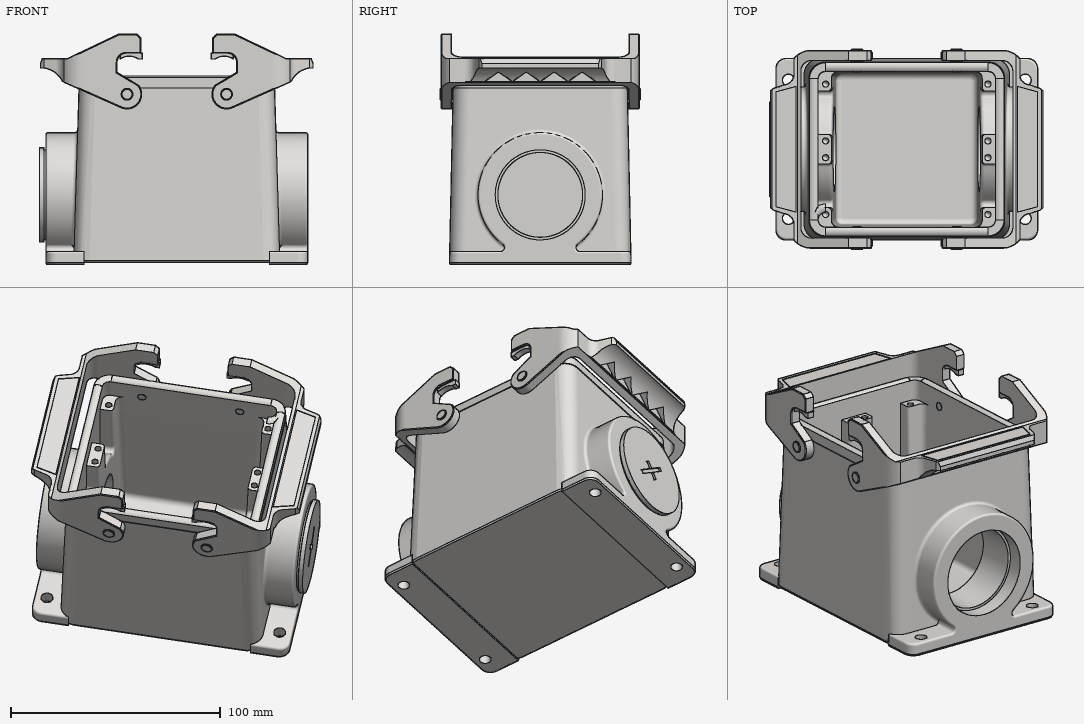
import cadquery as cq
import math

base_half_x = 62.5
base_corner_radius = 5.0
base_top = 6.2
bottom_bevel = 0.4
bottom_bevel_height = 0.95
foot_inner_x = 44.2
foot_height = 1.0
mount_hole_dia = 5.6
mount_hole_x = 56.5
mount_hole_y = 33.0

wall_top = 84.3
wall_half_x_bottom = 49.2
wall_half_y_bottom = 43.4
wall_half_x_top = 46.7
wall_half_y_top = 41.6
wall_corner_radius = 7.7

rim_top = 90.0
rim_thickness = 4.1
rim_crown = 0.8

mouth_half_x = 42.3
mouth_half_y = 37.2
mouth_corner_radius = 3.5
post_top = 79.0
break_height = 68.5
break_half_y = 36.8
post_top_half_y = break_half_y + (mouth_half_y - break_half_y) * (post_top - break_height) / (wall_top - break_height)
well_half_x_top = 36.0
well_half_x_bottom = 33.6
well_half_y_bottom = 36.0
well_corner_radius = 3.2
well_floor = 5.0
floor_rounding = 3.0

middle_post_half_width = 7.1
corner_post_inner_y = 27.8
recess_root_radius = 2.0
post_edge_radius = 1.6
screw_hole_dia = 2.95
screw_hole_depth = 10.0
screw_hole_x = 38.7
middle_screw_y = 4.0
corner_screw_y = 31.1

hub_height = 33.2
hub_radius = 29.7
hub_edge_radius = 1.1
hub_root_radius = 1.4
hub_neck_radius = 1.8
bore_dia = 43.0
passage_dia = 40.5

plug_flange_dia = 45.0
plug_outer_x = 65.63
plug_flange_thickness = 2.2
plug_inner_x = 54.5
slot_width = 2.0
slot_long = 19.0
slot_short = 9.5
slot_depth = 1.0
slot_angle = 39.0

lever_outer_y = 47.25
lever_inner_y = 42.4
lever_outer_x = 53.9
lever_inner_x = 50.6
corner_start_x = 45.4
corner_end_y = 43.3
lever_inner_corner = 5.2
lever_edge_chamfer = 0.4
pivot_x = 23.75
pivot_z = 81.2
pivot_eye_radius = 7.0
lever_bottom_z = 87.2
lever_bottom_x = 54.5
lever_shoulder_x = 52.2
lever_shoulder_z = 98.2
hook_tip_x = 17.1
hook_back_x = 27.8
hook_top_z = 109.9
hook_corner = 1.9
hook_lip_z = 100.8
throat_x = 28.5
throat_bottom_z = 91.6
throat_radius = 4.4
eye_flank_x = 18.2
eye_flank_z = 85.5
nib_tip_x = 16.4
nib_bottom_z = 98.0
nib_back_x = 27.0
nib_hollow_x = 24.0
nib_hollow_z = 99.2
nib_inner_y = 43.0
nib_outer_y = 46.2
pin_dia = 5.6
pin_head_chamfer = 0.4
pin_outer_y = 47.835
pin_shank_dia = 4.0
pin_inner_y = 36.9
pin_collar_y = 41.9

handle_tip_x = 65.1
handle_top_x = 64.2
handle_back_x = 52.5
handle_tip_top_z = 95.8
handle_tip_bottom_z = 93.7
handle_lip_x = 63.4
handle_arc_rise = 1.0
handle_half_tip = 27.8
handle_half_shoulder = 29.2
handle_shoulder_x = 63.4
handle_half_root = 30.8
handle_root_x = 58.2
handle_flare_y = 35.7
flare_bulge_x = 0.8
flare_bulge_y = 0.9
panel_outer_x = 62.4
panel_inner_x = 52.8
panel_half_outer = 27.4
panel_half_inner = 30.0
panel_depth = 0.3
grip_count = 4
grip_pitch = 13.3
grip_apex_z = 93.0
grip_draft = 12.0


def both_ends(shape):
    """The shape together with its copy turned half round the Z axis."""
    return [shape, shape.rotate((0, 0, 0), (0, 0, 1), 180)]


def drafted_block(bottom, top, z_bottom, z_top, radius):
    """Rounded block whose half sizes run from bottom to top in straight drafted walls."""

    def outline(half_sizes):
        return cq.Sketch().rect(2 * half_sizes[0], 2 * half_sizes[1]).vertices().fillet(radius)

    return (
        cq.Workplane("XY")
        .placeSketch(
            outline(bottom).moved(cq.Location(cq.Vector(0, 0, z_bottom))),
            outline(top).moved(cq.Location(cq.Vector(0, 0, z_top))),
        )
        .loft(ruled=True)
    )


def wall_half_y(z):
    """Half width of the drafted side walls at a height."""
    return wall_half_y_bottom + (wall_half_y_top - wall_half_y_bottom) * z / wall_top


def wall_half_x(z):
    """Half length of the drafted end walls at a height."""
    return wall_half_x_bottom + (wall_half_x_top - wall_half_x_bottom) * z / wall_top


def make_outline():
    """The plate under the wall, with its side faces in the planes of the side walls."""
    lower = drafted_block(
        (base_half_x - bottom_bevel, wall_half_y(0) - bottom_bevel),
        (base_half_x, wall_half_y(bottom_bevel_height)),
        0,
        bottom_bevel_height,
        base_corner_radius,
    )
    upper = drafted_block(
        (base_half_x, wall_half_y(bottom_bevel_height)),
        (base_half_x, wall_half_y(base_top)),
        bottom_bevel_height,
        base_top,
        base_corner_radius,
    )
    return lower.union(upper)


def make_wall():
    """Drafted wall block, still solid inside, with a bevel along its bottom edge."""
    bevel_top = foot_height + bottom_bevel_height
    bevel = drafted_block(
        (wall_half_x(foot_height) - bottom_bevel, wall_half_y(foot_height) - bottom_bevel),
        (wall_half_x(bevel_top), wall_half_y(bevel_top)),
        foot_height,
        bevel_top,
        wall_corner_radius,
    )
    wall = drafted_block(
        (wall_half_x(bevel_top), wall_half_y(bevel_top)),
        (wall_half_x_top, wall_half_y_top),
        bevel_top,
        wall_top,
        wall_corner_radius,
    )
    return bevel.union(wall)


def make_hub(outer_x):
    """Plain round cable hub at -X, from its outer end to the well."""
    hub = cq.Workplane("YZ", origin=(-outer_x, 0, hub_height)).circle(hub_radius)
    return hub.extrude(outer_x - well_half_x_top)


def make_end():
    """Foot plate at -X with its cable hub, joined by rounded necks."""
    middle = cq.Workplane("XY").rect(2 * foot_inner_x, 4 * hub_radius).extrude(base_top)
    far_side = cq.Workplane("XY").center(base_half_x, 0).rect(2 * base_half_x, 4 * hub_radius).extrude(base_top)
    plate = make_outline().cut(middle).cut(far_side)
    neck_box = cq.selectors.BoxSelector(
        (-base_half_x - 1, -hub_radius, base_top - 1),
        (0, hub_radius, base_top + 1),
    )
    end = plate.union(make_hub(base_half_x)).edges("|X").edges(neck_box).fillet(hub_neck_radius)
    face_box = cq.selectors.BoxSelector(
        (-base_half_x - 1, -base_half_x, base_top - 1),
        (0, base_half_x, hub_height + hub_radius),
    )
    return end.faces("<X").edges(face_box).fillet(hub_edge_radius)


def make_rim():
    """Rim standing on the wall up to the foot of its crown, still solid inside."""
    rim = (
        cq.Workplane("XY", origin=(0, 0, wall_top))
        .rect(2 * (mouth_half_x + rim_thickness), 2 * (mouth_half_y + rim_thickness))
        .extrude(rim_top - rim_crown - wall_top)
    )
    return rim.edges("|Z").fillet(mouth_corner_radius + rim_thickness)


def crown_section(plane, origin):
    """Flat circular segment that crowns the rim, from its inner edge outwards."""
    section = cq.Workplane(plane, origin=origin)
    return section.lineTo(rim_thickness, 0).threePointArc((rim_thickness / 2, rim_crown), (0, 0)).close()


def make_crown():
    """Crown of the rim: four straight runs joined by quarter turns."""
    crown_z = rim_top - rim_crown
    straight_x = mouth_half_x - mouth_corner_radius
    straight_y = mouth_half_y - mouth_corner_radius
    end_run = crown_section("XZ", (mouth_half_x, straight_y, crown_z)).extrude(2 * straight_y)
    side_run = crown_section("YZ", (-straight_x, mouth_half_y, crown_z)).extrude(2 * straight_x)
    corner = crown_section("XZ", (mouth_half_x, straight_y, crown_z)).revolve(
        90,
        (-mouth_corner_radius, 0),
        (-mouth_corner_radius, -1),
    )
    return [*both_ends(end_run), *both_ends(side_run), *both_ends(corner), *both_ends(corner.mirror("XZ"))]


def make_mouth():
    """Wide opening from the post tops up to the rim, drafted below the foot of the rim."""
    rim_part = cq.Workplane("XY", origin=(0, 0, wall_top)).rect(2 * mouth_half_x, 2 * mouth_half_y)
    rim_part = rim_part.extrude(rim_top - wall_top).edges("|Z").fillet(mouth_corner_radius)
    drafted = drafted_block(
        (mouth_half_x, post_top_half_y),
        (mouth_half_x, mouth_half_y),
        post_top,
        wall_top,
        mouth_corner_radius,
    )
    return drafted.union(rim_part)


def make_well():
    """Drafted well from the floor to the post tops, its long walls steeper above the break."""
    slope = (well_half_x_top - well_half_x_bottom) / (post_top - well_floor)
    well_half_x_break = well_half_x_top - slope * (post_top - break_height)
    upper = drafted_block(
        (well_half_x_break, break_half_y),
        (well_half_x_top, post_top_half_y),
        break_height,
        post_top,
        well_corner_radius,
    )
    lower = drafted_block(
        (well_half_x_bottom, well_half_y_bottom),
        (well_half_x_break, break_half_y),
        well_floor,
        break_height,
        well_corner_radius,
    )
    return upper.union(lower).faces("<Z").edges().fillet(floor_rounding)


def make_recess(side):
    """Recess over the -X hub, between the middle post and the corner post on one side."""
    width = corner_post_inner_y - middle_post_half_width
    depth = mouth_half_x - well_half_x_bottom
    middle_y = side * (corner_post_inner_y + middle_post_half_width) / 2
    slab = (
        cq.Workplane("YZ", origin=(-mouth_half_x, middle_y, (hub_height + post_top) / 2))
        .rect(width, post_top - hub_height)
        .extrude(depth)
    )
    hub = cq.Workplane("YZ", origin=(-mouth_half_x, 0, hub_height)).circle(hub_radius).extrude(depth)
    root_box = cq.selectors.BoxSelector(
        (-mouth_half_x, -hub_radius, hub_height),
        (0, hub_radius, hub_height + hub_radius + 1),
    )
    return slab.cut(hub).edges("|X").edges(root_box).fillet(recess_root_radius)


def make_bore():
    """Stepped cable entry through the -X hub."""
    bore = cq.Workplane("YZ", origin=(-base_half_x, 0, hub_height))
    wide = bore.circle(bore_dia / 2).extrude(base_half_x - plug_inner_x)
    narrow = bore.circle(passage_dia / 2).extrude(base_half_x - well_half_x_bottom)
    return wide.union(narrow)


def make_screw_hole(y):
    """Blind screw hole with a drill point in the top of a post at -X."""
    radius = screw_hole_dia / 2
    profile = (
        cq.Workplane("XZ")
        .moveTo(0, 0)
        .lineTo(radius, 0)
        .lineTo(radius, -screw_hole_depth)
        .lineTo(0, -screw_hole_depth - radius)
        .close()
    )
    return profile.revolve(360, (0, 0), (0, 1)).translate((-screw_hole_x, y, post_top))


def make_mount_hole(end, side):
    """Screw hole through one corner of the foot plates."""
    hole = cq.Workplane("XY").center(end * mount_hole_x, side * mount_hole_y)
    return hole.circle(mount_hole_dia / 2).extrude(base_top)


def make_pin(end, side):
    """Lever pivot pin, from its head outside the lever to its tip inside the housing wall."""
    pin = cq.Workplane("XZ", origin=(end * pivot_x, pin_outer_y, pivot_z))
    collar = pin.circle(pin_dia / 2).extrude(pin_outer_y - pin_collar_y)
    collar = collar.faces(">Y").edges().chamfer(pin_head_chamfer)
    shank = pin.circle(pin_shank_dia / 2).extrude(pin_outer_y - pin_inner_y)
    whole = collar.union(shank)
    return whole if side > 0 else whole.mirror("XZ")


def make_housing():
    body = make_wall()
    for hub in both_ends(make_hub(base_half_x - hub_edge_radius)):
        body = body.union(hub)
    root_box = cq.selectors.BoxSelector(
        (-wall_half_x_bottom - 1, -hub_radius - 1, base_top / 2),
        (wall_half_x_bottom + 1, hub_radius + 1, wall_top - 1),
    )
    body = body.edges("not |X").edges(root_box).fillet(hub_root_radius)
    for end in both_ends(make_end()):
        body = body.union(end)
    body = body.union(make_rim()).cut(make_mouth()).cut(make_well())
    for run in make_crown():
        body = body.union(run)
    for side in (-1, 1):
        for recess in both_ends(make_recess(side)):
            body = body.cut(recess)
    for end in (-1, 1):
        middle_x = end * (well_half_x_top + well_half_x_bottom) / 2
        reach = well_half_x_top - well_half_x_bottom
        post_box = cq.selectors.BoxSelector(
            (middle_x - reach, -corner_post_inner_y - 1, hub_height + 0.8 * hub_radius),
            (middle_x + reach, corner_post_inner_y + 1, post_top - 1),
        )
        body = body.edges("not |Y").edges(post_box).fillet(post_edge_radius)
    for side in (-1, 1):
        for y in (middle_screw_y, corner_screw_y):
            for hole in both_ends(make_screw_hole(side * y)):
                body = body.cut(hole)
    for bore in both_ends(make_bore()):
        body = body.cut(bore)
    for end in (-1, 1):
        for side in (-1, 1):
            body = body.cut(make_pin(end, side)).cut(make_mount_hole(end, side))
    return body


def make_plug():
    """Blanking plug: flange, shank and a crossed screwdriver slot."""
    face = cq.Workplane("YZ", origin=(-plug_outer_x, 0, hub_height))
    flange = face.circle(plug_flange_dia / 2).extrude(plug_flange_thickness)
    shank = face.circle(bore_dia / 2).extrude(plug_outer_x - plug_inner_x)
    plug = flange.union(shank)
    cross = face.rect(slot_long, slot_width).extrude(slot_depth)
    cross = cross.union(face.rect(slot_width, slot_short).extrude(slot_depth))
    centre = cq.Vector(-plug_outer_x, 0, hub_height)
    return plug.cut(cross.rotate(centre, centre + cq.Vector(1, 0, 0), -slot_angle))


def lever_side_profile():
    """Block with the side outline of the -X lever: hook, throat, pivot eye and cross bar."""
    reach_x = pivot_x - lever_bottom_x
    reach_z = lever_bottom_z - pivot_z
    tangent = math.atan2(reach_z, reach_x) + math.acos(pivot_eye_radius / math.hypot(reach_x, reach_z))
    eye_low_x = -pivot_x + pivot_eye_radius * math.cos(tangent)
    eye_low_z = pivot_z + pivot_eye_radius * math.sin(tangent)
    flank = math.atan2(eye_flank_z - pivot_z, pivot_x - eye_flank_x)
    eye_flank = (
        -pivot_x + pivot_eye_radius * math.cos(flank),
        pivot_z + pivot_eye_radius * math.sin(flank),
    )
    return (
        cq.Workplane("XZ", origin=(0, lever_outer_y, 0))
        .moveTo(-lever_bottom_x, lever_bottom_z)
        .lineTo(eye_low_x, eye_low_z)
        .threePointArc(
            (-pivot_x + pivot_eye_radius * math.sqrt(0.5), pivot_z - pivot_eye_radius * math.sqrt(0.5)),
            eye_flank,
        )
        .lineTo(-throat_x, throat_bottom_z)
        .lineTo(-throat_x, hook_lip_z - throat_radius)
        .threePointArc(
            (-throat_x + throat_radius * (1 - math.sqrt(0.5)),
             hook_lip_z - throat_radius * (1 - math.sqrt(0.5))),
            (-throat_x + throat_radius, hook_lip_z),
        )
        .lineTo(-hook_tip_x, hook_lip_z)
        .lineTo(-hook_tip_x, hook_top_z - hook_corner)
        .lineTo(-hook_tip_x - hook_corner, hook_top_z)
        .lineTo(-hook_back_x, hook_top_z)
        .lineTo(-lever_shoulder_x, lever_shoulder_z)
        .lineTo(-lever_bottom_x, lever_shoulder_z)
        .close()
        .extrude(2 * lever_outer_y)
    )


def make_lever_frame():
    """U-shaped frame: two side arms joined by the cross bar."""
    length_in = lever_inner_x - nib_tip_x
    corner_length = lever_outer_x - corner_start_x
    corner_drop = lever_outer_y - corner_end_y
    corner_radius = (corner_length**2 + corner_drop**2) / (2 * corner_drop)
    half_angle = math.asin(corner_length / corner_radius) / 2
    corner_mid_x = corner_start_x + corner_radius * math.sin(half_angle)
    corner_mid_y = lever_outer_y - corner_radius * (1 - math.cos(half_angle))
    half_frame = (
        cq.Workplane("XY")
        .moveTo(-nib_tip_x, 0)
        .lineTo(-nib_tip_x, lever_outer_y)
        .lineTo(-corner_start_x, lever_outer_y)
        .threePointArc((-corner_mid_x, corner_mid_y), (-lever_outer_x, corner_end_y))
        .lineTo(-lever_outer_x, 0)
        .close()
        .extrude(hook_top_z)
    )
    frame = half_frame.union(half_frame.mirror("XZ"))
    opening = (
        cq.Workplane("XY")
        .center(-lever_inner_x + length_in / 2, 0)
        .rect(length_in, 2 * lever_inner_y)
        .extrude(hook_top_z)
        .edges("|Z and <X")
        .fillet(lever_inner_corner)
    )
    side = lever_side_profile().faces("<Y or >Y").edges().chamfer(lever_edge_chamfer)
    return frame.cut(opening).intersect(side)


def make_nib(side):
    """Locking nib under the tip of one hook, with a hollow towards the throat."""
    nib = (
        cq.Workplane("XZ", origin=(0, nib_outer_y, 0))
        .moveTo(-nib_tip_x, nib_bottom_z)
        .lineTo(-nib_tip_x, hook_lip_z)
        .lineTo(-nib_back_x, hook_lip_z)
        .lineTo(-nib_back_x, nib_bottom_z)
        .threePointArc((-nib_hollow_x, nib_hollow_z), (-nib_tip_x - hook_corner, nib_bottom_z))
        .close()
        .extrude(nib_outer_y - nib_inner_y)
    )
    return nib if side > 0 else nib.mirror("XZ")


def make_handle():
    """Grip flange of the -X lever, hollowed below into triangular gussets."""
    arc_mid = (
        -(handle_lip_x + lever_bottom_x) / 2 + handle_arc_rise,
        (handle_tip_bottom_z + lever_bottom_z) / 2 + handle_arc_rise,
    )
    side = (
        cq.Workplane("XZ", origin=(0, handle_flare_y, 0))
        .moveTo(-handle_back_x, lever_bottom_z)
        .lineTo(-lever_bottom_x, lever_bottom_z)
        .threePointArc(arc_mid, (-handle_lip_x, handle_tip_bottom_z))
        .lineTo(-handle_tip_x, handle_tip_bottom_z)
        .lineTo(-handle_tip_x, handle_tip_top_z)
        .lineTo(-handle_top_x, lever_shoulder_z)
        .lineTo(-handle_back_x, lever_shoulder_z)
        .close()
        .extrude(2 * handle_flare_y)
    )
    flare_mid = (
        -(handle_root_x + lever_outer_x) / 2 + flare_bulge_x,
        (handle_half_root + handle_flare_y) / 2 - flare_bulge_y,
    )
    half_plan = (
        cq.Workplane("XY")
        .moveTo(-handle_back_x, 0)
        .lineTo(-handle_tip_x, 0)
        .lineTo(-handle_tip_x, handle_half_tip)
        .lineTo(-handle_shoulder_x, handle_half_shoulder)
        .lineTo(-handle_root_x, handle_half_root)
        .threePointArc(flare_mid, (-lever_outer_x, handle_flare_y))
        .lineTo(-handle_back_x, handle_flare_y)
        .close()
        .extrude(hook_top_z)
    )
    handle = side.intersect(half_plan.union(half_plan.mirror("XZ")))
    for index in range(grip_count):
        notch = (
            cq.Workplane("YZ", origin=(-lever_outer_x, (index - (grip_count - 1) / 2) * grip_pitch, 0))
            .moveTo(-grip_pitch / 2, lever_bottom_z)
            .lineTo(0, grip_apex_z)
            .lineTo(grip_pitch / 2, lever_bottom_z)
            .close()
            .extrude(lever_outer_x - handle_tip_x, taper=grip_draft)
        )
        handle = handle.cut(notch)
    return handle


def make_panel():
    """Shallow recess in the top of the handle."""
    return (
        cq.Workplane("XY", origin=(0, 0, lever_shoulder_z - panel_depth))
        .moveTo(-panel_outer_x, panel_half_outer)
        .lineTo(-panel_inner_x, panel_half_inner)
        .lineTo(-panel_inner_x, -panel_half_inner)
        .lineTo(-panel_outer_x, -panel_half_outer)
        .close()
        .extrude(panel_depth)
    )


def make_lever():
    lever = make_lever_frame().union(make_handle()).cut(make_panel())
    for side in (-1, 1):
        lever = lever.union(make_nib(side)).union(make_pin(-1, side))
    return lever


housing = make_housing()
plug = make_plug()
levers = both_ends(make_lever())

solids = [housing.solids().val(), plug.solids().val(), *[lever.solids().val() for lever in levers]]
result = cq.Compound.makeCompound(solids)